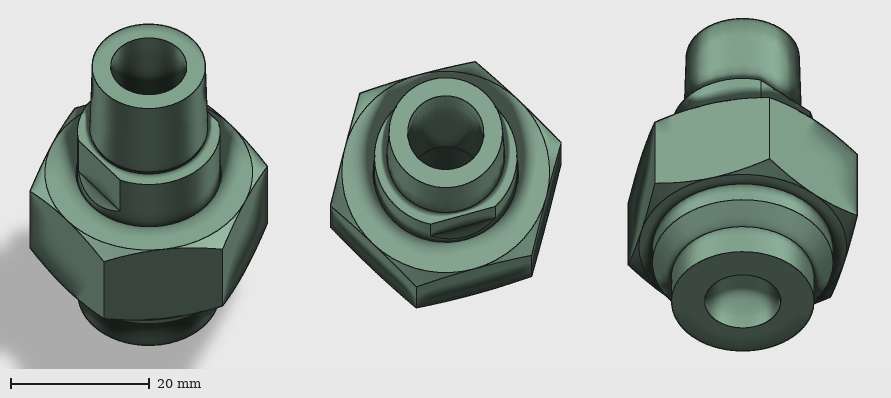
import cadquery as cq
import math

total_height = 49.0
tail_top = 5.05
cone_top = 7.8
nut_bottom = 11.0
nut_height = 15.0
nut_top = nut_bottom + nut_height
shoulder_top = 34.9
relief_top = 35.25
thread_bottom = 35.65

bore_radius = 5.5
tail_radius = 10.3
joint_radius = 13.05
shoulder_radius = 10.3
thread_top_radius = 8.2
thread_bottom_radius = 8.55
relief_radius = 8.25

across_flats = 30.0
across_corners = across_flats / math.cos(math.pi / 6)
nut_face_radius = across_flats / 2
nut_chamfer_angle = math.radians(30)
nut_clearance = 0.2
nut_lip = 2.95

collar_height = 3.9
collar_top = nut_top - nut_lip
collar_bottom = collar_top - collar_height

flat_distance = 9.05
flat_bottom = 28.18


def revolve_profile(points):
    """Revolve a closed (radius, height) outline about the Z axis."""
    return cq.Workplane("XZ").polyline(points).close().revolve(360, (0, 0), (0, 1))


def make_lower_fitting():
    """Tail with a conical shoulder, reaching up inside the nut."""
    return revolve_profile([
        (bore_radius, 0),
        (tail_radius, 0),
        (tail_radius, tail_top),
        (joint_radius, cone_top),
        (joint_radius, collar_bottom),
        (bore_radius, collar_bottom),
    ])


def make_flat_cutter(side):
    """Wedge that cuts one wrench flat ending in a 45 degree run-out."""
    run_out = joint_radius - flat_distance
    outline = [
        (side * flat_distance, shoulder_top),
        (side * flat_distance, flat_bottom),
        (side * joint_radius, flat_bottom - run_out),
        (side * joint_radius, shoulder_top),
    ]
    return cq.Workplane("YZ").polyline(outline).close().extrude(shoulder_radius, both=True)


def make_nipple():
    """Tapered nipple with a flatted shoulder and a collar held by the nut."""
    nipple = revolve_profile([
        (bore_radius, collar_bottom),
        (joint_radius, collar_bottom),
        (joint_radius, collar_top),
        (shoulder_radius, collar_top),
        (shoulder_radius, shoulder_top),
        (relief_radius, shoulder_top),
        (relief_radius, relief_top),
        (thread_bottom_radius, thread_bottom),
        (thread_top_radius, total_height),
        (bore_radius, total_height),
    ])
    for side in (-1, 1):
        nipple = nipple.cut(make_flat_cutter(side))
    return nipple


def make_nut():
    """Hexagonal union nut, chamfered at both ends, with a lip at the top."""
    corner_radius = across_corners / 2
    chamfer_drop = (corner_radius - nut_face_radius) * math.tan(nut_chamfer_angle)
    hexagon = (
        cq.Workplane("XY", origin=(0, 0, nut_bottom))
        .polygon(6, across_corners)
        .extrude(nut_height)
    )
    chamfered_blank = revolve_profile([
        (0, nut_bottom),
        (nut_face_radius, nut_bottom),
        (corner_radius, nut_bottom + chamfer_drop),
        (corner_radius, nut_top - chamfer_drop),
        (nut_face_radius, nut_top),
        (0, nut_top),
    ])
    opening_radius = shoulder_radius + nut_clearance
    cavity = revolve_profile([
        (0, nut_bottom),
        (joint_radius, nut_bottom),
        (joint_radius, collar_top),
        (opening_radius, collar_top),
        (opening_radius, nut_top),
        (0, nut_top),
    ])
    return hexagon.intersect(chamfered_blank).cut(cavity)


lower_fitting = make_lower_fitting()
nipple = make_nipple()
nut = make_nut()

result = cq.Compound.makeCompound([lower_fitting.val(), nipple.val(), nut.val()])